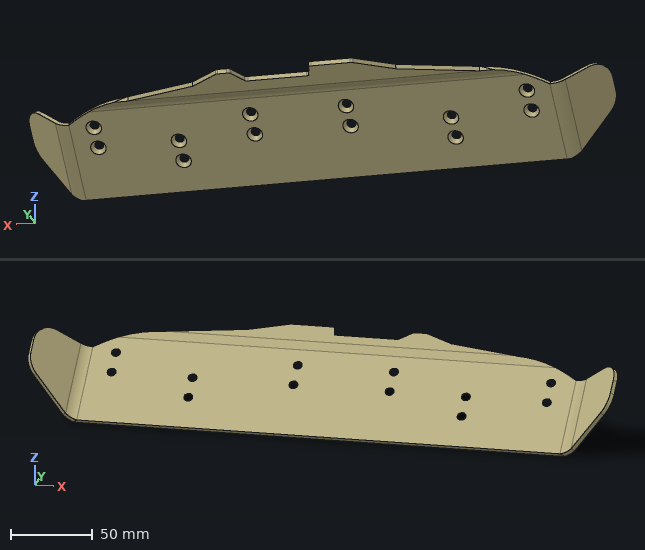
import cadquery as cq
import math


thickness = 3.0
inner_radius = 10.0
outer_radius = inner_radius + thickness
panel_tilt = 40.0
flange_fold = 45.0
wing_fold = 45.0

panel_half_width = 151.7
panel_depth = 62.2
wing_depth = 54.0
shoulder_mid = (142.0, 60.0)
shoulder_half_width = 111.0

flange_length = 47.0
flange_knee = (64.0, 22.5)
flange_top_half_width = 42.7
flange_corner_radius = 2.2
notch_floor = 24.0
notch_floor_left, notch_floor_right = -9.5, 30.2
notch_mouth_left, notch_mouth_right = -15.5, 34.3
notch_floor_radius = 2.0

wing_length = 32.8
wing_rear_radius = 14.7
wing_front_radius = 14.0

hole_top_diameter = 5.0
hole_bottom_diameter = 9.5
hole_pitch = 14.5
rear_pair_front_row = 36.5
front_pair_front_row = rear_pair_front_row - hole_pitch
rear_pair_x = (-136.5, -22.5, 38.0, 136.5)
front_pair_x = (-85.8, 85.8)

reach = 5 * thickness


def sin_deg(angle):
    return math.sin(math.radians(angle))


def cos_deg(angle):
    return math.cos(math.radians(angle))


flange_start = panel_depth + outer_radius * sin_deg(flange_fold)


def round_corner(body, plane, corner, radius):
    """Round the edge of body that runs along the plane normal at the given plane position."""
    along_normal = cq.selectors.ParallelDirSelector(plane.zDir)
    nearest = cq.selectors.NearestToPointSelector(plane.toWorldCoords(corner).toTuple())
    return body.edges(along_normal).edges(nearest).fillet(radius)


def fold_strip(plane, fold_angle, bend_up, half_span, flat_length=0):
    """Bend, and any flat beyond it, starting at the plane origin on the sheet's top face."""
    side = 1 if bend_up else -1
    top_radius = inner_radius if bend_up else outer_radius
    bottom_radius = outer_radius if bend_up else inner_radius

    def on_arc(radius, angle):
        return (radius * sin_deg(angle), side * (top_radius - radius * cos_deg(angle)))

    def along_flat(point):
        return (
            point[0] + flat_length * cos_deg(fold_angle),
            point[1] + side * flat_length * sin_deg(fold_angle),
        )

    top_end = on_arc(top_radius, fold_angle)
    bottom_end = on_arc(bottom_radius, fold_angle)
    profile = cq.Workplane(plane).threePointArc(on_arc(top_radius, fold_angle / 2), top_end)
    if flat_length > 0:
        profile = profile.lineTo(*along_flat(top_end))
        profile = profile.lineTo(*along_flat(bottom_end))
    return (
        profile.lineTo(*bottom_end)
        .threePointArc(on_arc(bottom_radius, fold_angle / 2), (0, -thickness))
        .close()
        .extrude(half_span, both=True)
    )


def make_panel():
    """Flat panel, cut to the shoulder curves together with the flange fold."""
    slab = (
        cq.Workplane("XY")
        .rect(2 * panel_half_width, panel_depth)
        .extrude(-thickness)
        .translate((0, panel_depth / 2, 0))
    )
    fold_plane = cq.Plane(origin=(0, panel_depth, 0), xDir=(0, 1, 0), normal=(1, 0, 0))
    slab = slab.union(fold_strip(fold_plane, flange_fold, False, panel_half_width))
    outline = (
        cq.Workplane("XY", origin=(0, 0, -reach))
        .moveTo(-panel_half_width, 0)
        .lineTo(panel_half_width, 0)
        .lineTo(panel_half_width, wing_depth)
        .threePointArc(shoulder_mid, (shoulder_half_width, flange_start))
        .lineTo(-shoulder_half_width, flange_start)
        .threePointArc((-shoulder_mid[0], shoulder_mid[1]), (-panel_half_width, wing_depth))
        .close()
        .extrude(2 * reach)
    )
    return slab.intersect(outline)


def make_flange():
    """Tapered rear flange with its off-centre notch."""
    fold_end_z = -outer_radius * (1 - cos_deg(flange_fold))
    flange_plane = cq.Plane(
        origin=(0, flange_start, fold_end_z),
        xDir=(1, 0, 0),
        normal=(0, sin_deg(flange_fold), cos_deg(flange_fold)),
    )
    knee_x, knee_y = flange_knee
    plate = (
        cq.Workplane(flange_plane)
        .polyline([
            (-shoulder_half_width, 0),
            (-knee_x, knee_y),
            (-flange_top_half_width, flange_length),
            (flange_top_half_width, flange_length),
            (knee_x, knee_y),
            (shoulder_half_width, 0),
        ])
        .close()
        .extrude(-thickness)
    )
    notch = (
        cq.Workplane(flange_plane, origin=flange_plane.toWorldCoords((0, 0, reach)))
        .polyline([
            (notch_mouth_left, flange_length),
            (notch_floor_left, notch_floor),
            (notch_floor_right, notch_floor),
            (notch_mouth_right, flange_length),
        ])
        .close()
        .extrude(-2 * reach)
    )
    plate = plate.cut(notch)
    for x in (-flange_top_half_width, notch_mouth_left, notch_mouth_right, flange_top_half_width):
        plate = round_corner(plate, flange_plane, (x, flange_length, 0), flange_corner_radius)
    for x in (notch_floor_left, notch_floor_right):
        plate = round_corner(plate, flange_plane, (x, notch_floor, 0), notch_floor_radius)
    return plate


def make_right_wing():
    """Wing and its fold; the front edge is cut so that it stands vertical once tilted."""
    fold_plane = cq.Plane(origin=(panel_half_width, 0, 0), xDir=(1, 0, 0), normal=(0, -1, 0))
    strip = fold_strip(fold_plane, wing_fold, True, 2 * wing_depth, wing_length)

    fold_run = inner_radius * sin_deg(wing_fold)
    fold_rise = inner_radius * (1 - cos_deg(wing_fold))
    tip_rise = fold_rise + wing_length * sin_deg(wing_fold)
    setback_per_rise = math.tan(math.radians(panel_tilt))
    fold_setback = fold_rise * setback_per_rise
    tip_setback = tip_rise * setback_per_rise
    wing_plane = cq.Plane(
        origin=(panel_half_width + fold_run, 0, fold_rise),
        xDir=(cos_deg(wing_fold), 0, sin_deg(wing_fold)),
        normal=(-sin_deg(wing_fold), 0, cos_deg(wing_fold)),
    )
    inner_end = -outer_radius - reach
    outline = (
        cq.Workplane(wing_plane)
        .polyline([
            (inner_end, 0),
            (-fold_run, 0),
            (0, fold_setback),
            (wing_length, tip_setback),
            (wing_length, wing_depth),
            (inner_end, wing_depth),
        ])
        .close()
        .extrude(reach, both=True)
    )
    outline = round_corner(outline, wing_plane, (wing_length, wing_depth, 0), wing_rear_radius)
    outline = round_corner(outline, wing_plane, (wing_length, tip_setback, 0), wing_front_radius)
    return strip.intersect(outline)


def make_holes():
    """Conical cutters for the hole pairs."""
    rows_of_pairs = ((rear_pair_x, rear_pair_front_row), (front_pair_x, front_pair_front_row))
    points = []
    for pair_x, front_row in rows_of_pairs:
        for x in pair_x:
            points += [(x, front_row), (x, front_row + hole_pitch)]
    cone = cq.Solid.makeCone(
        hole_top_diameter / 2,
        hole_bottom_diameter / 2,
        thickness,
        pnt=cq.Vector(0, 0, 0),
        dir=cq.Vector(0, 0, -1),
    )
    return cq.Workplane("XY").pushPoints(points).eachpoint(lambda place: cone.moved(place))


right_wing = make_right_wing()
left_wing = right_wing.mirror("YZ")
sheet = make_panel().union(make_flange()).union(right_wing).union(left_wing)
sheet = sheet.cut(make_holes())
result = sheet.rotate((0, 0, 0), (1, 0, 0), panel_tilt)